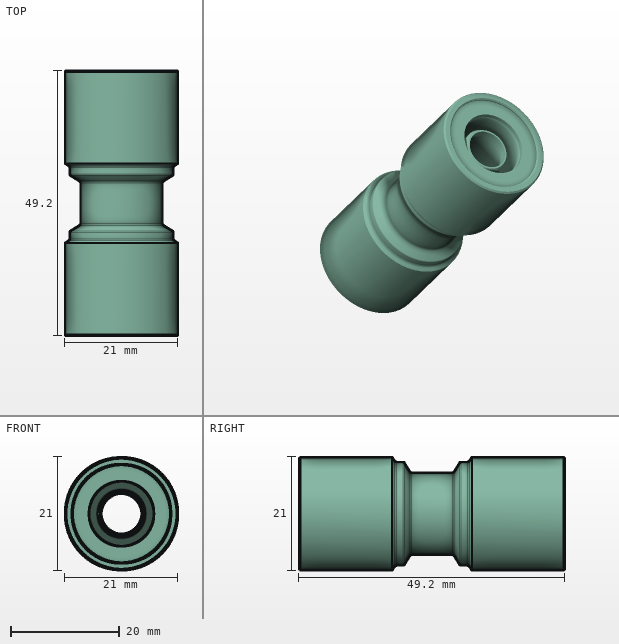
import cadquery as cq

length = 49.2
half_length = length / 2

head_radius = 21.0 / 2
collar_radius = 19.2 / 2
neck_radius = 15.2 / 2
head_inner_y = 7.4
collar_outer_y = 6.8
collar_inner_y = 5.2
neck_end_y = 4.0
rim_chamfer = 0.3
head_fillet = 0.4
collar_fillet = 0.3
neck_fillet = 0.4

recess_mouth_radius = 18.5 / 2
recess_floor_radius = 18.0 / 2
recess_bevel_depth = 0.25
recess_depth = 0.45

entry_radius = 12.15 / 2
socket_radius = 11.9 / 2
entry_depth = 0.9
lip_depth = 0.55
socket_floor_y = neck_end_y

bore_radius = 7.4 / 2
tip_radius = 8.0 / 2
spigot_radius = 8.8 / 2
spigot_base_fillet = 0.25
tip_setback = 2.3
tip_chamfer_length = 0.7

face_y = half_length - recess_depth
lip_y = face_y - entry_depth
lip_rise = entry_radius - socket_radius
lip_round_radius = (lip_depth**2 + lip_rise**2) / (2 * lip_rise)
tip_y = face_y - tip_setback


def circles_at(radius, y):
    """Select the edges whose centre lies at +/-y and that fit within the given radius."""
    margin = 0.005
    reach = radius + margin
    picked = None
    for side in (-1, 1):
        low = (-reach, side * y - margin, -reach)
        high = (reach, side * y + margin, reach)
        box = cq.selectors.BoxSelector(low, high, boundingbox=True)
        picked = box if picked is None else picked + box
    return picked


def make_body():
    upper = [
        (neck_radius, neck_end_y),
        (collar_radius, collar_inner_y),
        (collar_radius, collar_outer_y),
        (head_radius, head_inner_y),
        (head_radius, half_length - rim_chamfer),
        (head_radius - rim_chamfer, half_length),
    ]
    lower = [(radius, -y) for radius, y in reversed(upper)]
    axis_ends = [(0, half_length), (0, -half_length)]
    outline = cq.Workplane("XY").polyline(axis_ends + lower + upper).close()
    body = outline.revolve(360, (0, 0, 0), (0, 1, 0))
    body = body.edges(circles_at(collar_radius, collar_outer_y)).fillet(head_fillet)
    body = body.edges(circles_at(collar_radius, collar_inner_y)).fillet(collar_fillet)
    return body.edges(circles_at(neck_radius, neck_end_y)).fillet(neck_fillet)


def make_socket():
    """Space removed at the +Y end: recess and socket, leaving the spigot standing."""
    return (
        cq.Workplane("XY")
        .moveTo(0, half_length)
        .lineTo(recess_mouth_radius, half_length)
        .lineTo(recess_floor_radius, half_length - recess_bevel_depth)
        .lineTo(recess_floor_radius, face_y)
        .lineTo(entry_radius, face_y)
        .lineTo(entry_radius, lip_y)
        .radiusArc((socket_radius, lip_y - lip_depth), -lip_round_radius)
        .lineTo(socket_radius, socket_floor_y)
        .lineTo(spigot_radius + spigot_base_fillet, socket_floor_y)
        .radiusArc((spigot_radius, socket_floor_y + spigot_base_fillet), spigot_base_fillet)
        .lineTo(spigot_radius, tip_y - tip_chamfer_length)
        .lineTo(tip_radius, tip_y)
        .lineTo(0, tip_y)
        .close()
        .revolve(360, (0, 0, 0), (0, 1, 0))
    )


socket = make_socket()
through_bore = cq.Workplane("XZ").circle(bore_radius).extrude(half_length, both=True)

result = make_body().cut(socket).cut(socket.mirror("XZ")).cut(through_bore)